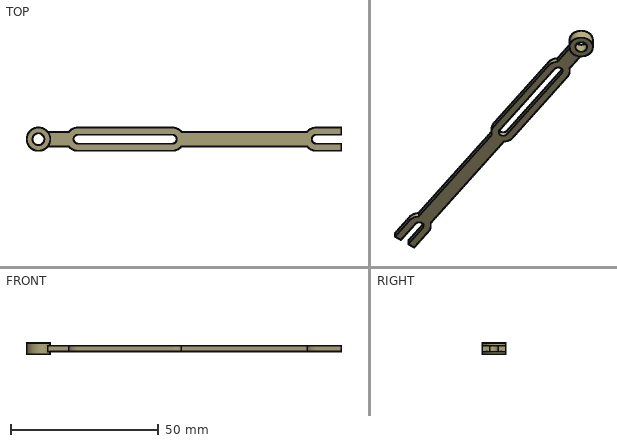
import cadquery as cq

overall_length = 107.0
eye_diameter = 8.0
eye_bore = 4.0
eye_height = 4.0
bar_width = 5.0
bar_thickness = 2.0
slot_width = 3.0

slot_start = 13.5
slot_end = 45.5
fork_root = 94.5

wide_width = eye_diameter
fork_tip = overall_length - eye_diameter / 2


def strip(start, end, width):
    """Square-ended flat strip, centred on the XY plane."""
    return (
        cq.Workplane("XY")
        .box(end - start, width, bar_thickness)
        .translate(((start + end) / 2, 0, 0))
    )


def disc(centre, diameter, height):
    """Upright cylinder on the link's centreline, centred in height."""
    return cq.Workplane("XY").center(centre, 0).circle(diameter / 2).extrude(height / 2, both=True)


def rounded_strip(start, end, width):
    """Strip with semicircular ends centred at start and end."""
    return (
        strip(start, end, width)
        .union(disc(start, width, bar_thickness))
        .union(disc(end, width, bar_thickness))
    )


def fork_strip(width):
    """Strip rounded at the fork root and square at its tip."""
    return strip(fork_root, fork_tip, width).union(disc(fork_root, width, bar_thickness))


body = (
    strip(0, fork_root, bar_width)
    .union(rounded_strip(slot_start, slot_end, wide_width))
    .union(fork_strip(wide_width))
    .union(disc(0, eye_diameter, eye_height))
)

result = (
    body.cut(rounded_strip(slot_start, slot_end, slot_width))
    .cut(fork_strip(slot_width))
    .cut(disc(0, eye_bore, eye_height))
)